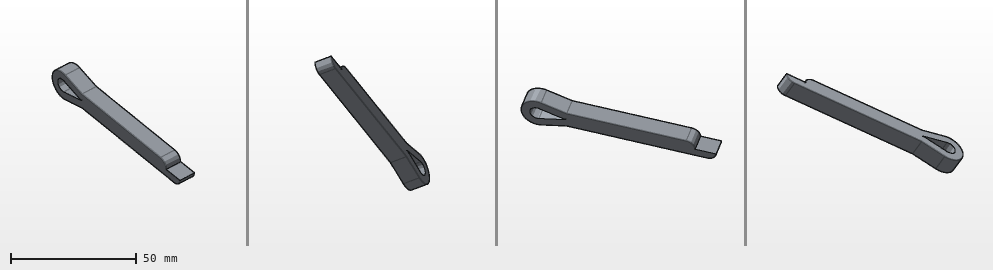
import cadquery as cq
import math

total_length = 81.5
short_leg_length = 72.75
width = 7.5
leg_thickness = 3.75
eye_outer_radius = 6.8
eye_tip_x = 18.65
edge_round = 0.2

eye_center_x = eye_outer_radius
eye_inner_radius = eye_outer_radius - leg_thickness

flank_angle = math.asin(eye_inner_radius / (eye_tip_x - eye_center_x))


def flank_point(radius):
    """Upper point where a flank leaves the eye circle of the given radius."""
    return (
        eye_center_x + radius * math.sin(flank_angle),
        radius * math.cos(flank_angle),
    )


def mirrored(point):
    return (point[0], -point[1])


def extrude_across_width(outline):
    return outline.close().extrude(width / 2, both=True)


def pin_blank(length):
    """Pin with a fully rounded far end and softened outer edges."""
    shank_start = (eye_tip_x + leg_thickness * math.tan(flank_angle / 2), leg_thickness)
    shank_end = (length - leg_thickness, leg_thickness)
    flank_start = flank_point(eye_outer_radius)
    outline = (
        cq.Workplane("XZ")
        .moveTo(*flank_start)
        .lineTo(*shank_start)
        .lineTo(*shank_end)
        .threePointArc((length, 0), mirrored(shank_end))
        .lineTo(*mirrored(shank_start))
        .lineTo(*mirrored(flank_start))
        .threePointArc((0, 0), flank_start)
    )
    return extrude_across_width(outline).faces("<Y or >Y").edges().fillet(edge_round)


def half_space(side):
    """Block covering everything above (+1) or below (-1) the fold plane."""
    block = cq.Workplane("XY").box(total_length, width, eye_outer_radius)
    return block.translate((total_length / 2, 0, side * eye_outer_radius / 2))


def eye():
    start = flank_point(eye_inner_radius)
    outline = (
        cq.Workplane("XZ")
        .moveTo(*start)
        .lineTo(eye_tip_x, 0)
        .lineTo(*mirrored(start))
        .threePointArc((eye_center_x - eye_inner_radius, 0), start)
    )
    return extrude_across_width(outline)


upper_leg = pin_blank(short_leg_length).intersect(half_space(1))
lower_leg = pin_blank(total_length).intersect(half_space(-1))
result = upper_leg.union(lower_leg).cut(eye())